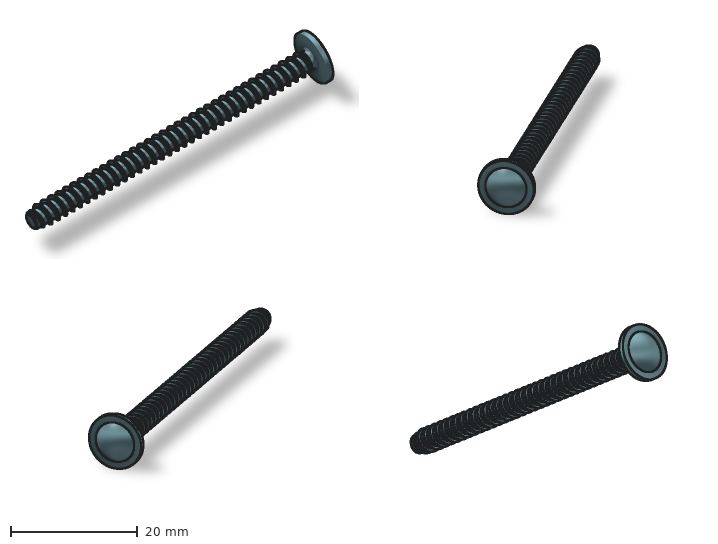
import cadquery as cq
import math

total_length = 57.45

flange_radius = 9.0 / 2
flange_thickness = 1.05
flange_edge_fillet = 0.1
dome_radius = 3.35
dome_height = 1.45

neck_radius = 3.3 / 2
neck_length = 1.0
neck_fillet = 0.45

core_radius = 3.0 / 2
tip_chamfer = 0.25

crest_radius = 4.0 / 2
crest_width = 0.1
flank_angle = 15.0
foot_height = 0.05
foot_width = 0.9
root_depth = 0.085
thread_bottom = -54.5
first_full_crest = -1.95
full_turns = 36
start_turns = 0.9
buried_turns = 0.5
lead_in_length = 0.6
runout_length = 1.85

shank_length = total_length - flange_thickness - dome_height
pitch = (first_full_crest - thread_bottom) / full_turns


def revolve_about_axis(outline):
    """Turn a closed outline in the XZ plane about the screw axis."""
    return outline.close().revolve(360, (0, 0, 0), (0, 1, 0))


def make_head():
    """Flange and dome with the underside at z = 0."""
    flange = cq.Workplane("XY").circle(flange_radius).extrude(flange_thickness)
    flange = flange.faces("<Z").edges().fillet(flange_edge_fillet)
    sphere_radius = (dome_radius**2 + dome_height**2) / (2 * dome_height)
    mid_angle = math.asin(dome_radius / sphere_radius) / 2
    dome_top = flange_thickness + dome_height
    mid_point = (
        sphere_radius * math.sin(mid_angle),
        dome_top - sphere_radius * (1 - math.cos(mid_angle)),
    )
    dome = revolve_about_axis(
        cq.Workplane("XZ")
        .moveTo(0, flange_thickness)
        .lineTo(dome_radius, flange_thickness)
        .threePointArc(mid_point, (0, dome_top))
    )
    return flange.union(dome)


def make_neck():
    """Short collar that flares into the underside of the head."""
    arc_offset = neck_fillet * (1 - math.sqrt(0.5))
    return revolve_about_axis(
        cq.Workplane("XZ")
        .lineTo(neck_radius + neck_fillet, 0)
        .threePointArc(
            (neck_radius + arc_offset, -arc_offset),
            (neck_radius, -neck_fillet),
        )
        .lineTo(neck_radius, -neck_length)
        .lineTo(0, -neck_length)
    )


def make_core():
    """Plain shank with a chamfered tip."""
    core = cq.Workplane("XY").circle(core_radius).extrude(-shank_length)
    return core.faces("<Z").chamfer(tip_chamfer)


def make_ridge():
    """Right-handed helical ridge of constant height, rooted inside the core."""
    root_radius = core_radius - root_depth
    foot_radius = core_radius + foot_height
    half_crest = crest_width / 2
    half_base = half_crest + (crest_radius - foot_radius) * math.tan(math.radians(flank_angle))
    half_foot = foot_width / 2
    helix_bottom = thread_bottom - buried_turns * pitch
    height = (buried_turns + full_turns + start_turns) * pitch
    helix = cq.Wire.makeHelix(pitch, height, root_radius, cq.Vector(0, 0, helix_bottom))
    return (
        cq.Workplane("XZ", origin=(0, 0, helix_bottom))
        .moveTo(root_radius, -half_foot)
        .lineTo(foot_radius, -half_base)
        .lineTo(crest_radius, -half_crest)
        .lineTo(crest_radius, half_crest)
        .lineTo(foot_radius, half_base)
        .lineTo(root_radius, half_foot)
        .close()
        .sweep(cq.Workplane(helix), isFrenet=True)
    )


def make_thread():
    """Ridge trimmed by cones so that it fades into the core at both ends."""
    top = -neck_length
    bottom = thread_bottom
    outside_radius = crest_radius + root_depth
    envelope = revolve_about_axis(
        cq.Workplane("XZ")
        .moveTo(0, bottom)
        .lineTo(core_radius, bottom)
        .lineTo(outside_radius, bottom + runout_length)
        .lineTo(outside_radius, top - lead_in_length)
        .lineTo(core_radius, top)
        .lineTo(0, top)
    )
    return make_ridge().intersect(envelope)


screw = make_core().union(make_thread()).union(make_neck()).union(make_head())

result = screw.rotate((0, 0, 0), (1, 0, 0), -90)